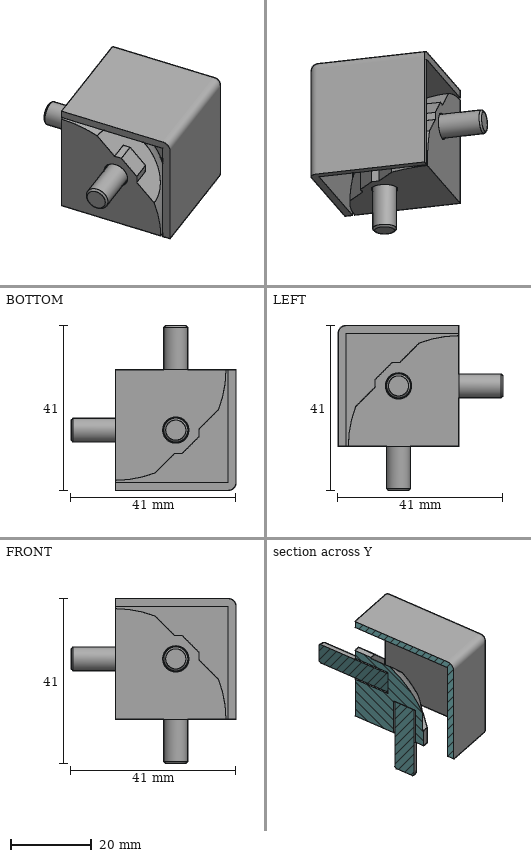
import cadquery as cq

CUBE_SIDE = 30.0
PIN_REACH = 11.0
PIN_DIAMETER = 6.0
PIN_CHAMFER = 0.5
HOLE_DIAMETER = 6.5
HOLE_DEPTH = 10.0
COVER_WALL = 2.0
CORE_RADIUS = 27.45
BEVEL_LEVEL = 35.5
LAND_LEVEL = 37.4
LAND_HEIGHT = 20.83
LAND_DEPTH = 4.9

PIN_CENTRE = CUBE_SIDE / 2
AXES = [
    ((1, 0, 0), (0, 1, 0)),
    ((0, 1, 0), (0, 0, 1)),
    ((0, 0, 1), (1, 0, 0)),
]


def face_plane(axis, x_direction):
    """Plane of an outer core face, with its normal pointing into the core."""
    return cq.Workplane(cq.Plane(origin=(0, 0, 0), xDir=x_direction, normal=axis))


def make_cover():
    """Three-walled corner cover with its outer edges and corner rounded."""
    block = cq.Workplane("XY").box(CUBE_SIDE, CUBE_SIDE, CUBE_SIDE, centered=False)
    rounded = block.edges(">X and >Y or >X and >Z or >Y and >Z").fillet(COVER_WALL)
    inner_side = CUBE_SIDE - COVER_WALL
    cavity = cq.Workplane("XY").box(inner_side, inner_side, inner_side, centered=False)
    return rounded.cut(cavity)


def core_profile(axis, x_direction):
    """Square prism with one bevelled corner; a raised land covers the start of the bevel."""
    bevel_end = BEVEL_LEVEL - CUBE_SIDE
    bevelled_square = [
        (0, 0),
        (CUBE_SIDE, 0),
        (CUBE_SIDE, bevel_end),
        (bevel_end, CUBE_SIDE),
        (0, CUBE_SIDE),
    ]
    land_end = LAND_LEVEL - LAND_HEIGHT
    land_outline = [
        (0, 0),
        (LAND_HEIGHT, 0),
        (LAND_HEIGHT, land_end),
        (land_end, LAND_HEIGHT),
        (0, LAND_HEIGHT),
    ]
    face = face_plane(axis, x_direction)
    prism = face.polyline(bevelled_square).close().extrude(CUBE_SIDE)
    land = face.polyline(land_outline).close().extrude(LAND_DEPTH)
    return prism.union(land)


def make_core():
    """Octant of a ball, trimmed by one profile along each axis, with three blind pin holes."""
    core = cq.Workplane("XY").sphere(CORE_RADIUS)
    for axis, x_direction in AXES:
        core = core.intersect(core_profile(axis, x_direction))
    for axis, x_direction in AXES:
        hole = (
            face_plane(axis, x_direction)
            .center(PIN_CENTRE, PIN_CENTRE)
            .circle(HOLE_DIAMETER / 2)
            .extrude(HOLE_DEPTH)
        )
        core = core.cut(hole)
    return core


def make_pin(axis, x_direction):
    """Round pin standing on its hole floor, with a chamfered outer end."""
    return (
        face_plane(axis, x_direction)
        .workplane(offset=-PIN_REACH)
        .center(PIN_CENTRE, PIN_CENTRE)
        .circle(PIN_DIAMETER / 2)
        .extrude(PIN_REACH + HOLE_DEPTH)
        .faces(cq.selectors.DirectionMinMaxSelector(cq.Vector(*axis), False))
        .chamfer(PIN_CHAMFER)
    )


cover = make_cover()
core = make_core()
pins = [make_pin(axis, x_direction) for axis, x_direction in AXES]

result = cq.Compound.makeCompound([cover.val(), core.val(), *[pin.val() for pin in pins]])